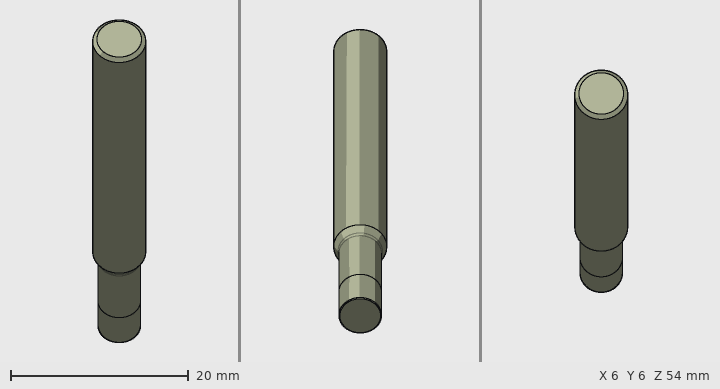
import cadquery as cq
import math

total_length = 54.0
shank_radius = 6.0 / 2
neck_radius = 4.8 / 2

tip_length = 4.8
tip_chamfer = 0.1
cone_top = 14.0
cone_angle = math.radians(28)
cone_bottom = cone_top - (shank_radius - neck_radius) / math.tan(cone_angle)
neck_fillet = 0.85

top_chamfer_width = 0.5
top_chamfer_height = 0.4


def make_tip():
    """Cylindrical tip with a chamfered lower edge."""
    tip = cq.Workplane("XY").circle(neck_radius).extrude(tip_length)
    return tip.faces("<Z").chamfer(tip_chamfer)


def make_shank():
    """Revolved shank with a reduced neck, blended into the cone by a fillet."""
    tangent_length = neck_fillet * math.tan(cone_angle / 2)
    fillet_bottom = cone_bottom - tangent_length
    fillet_mid_radius = neck_radius + neck_fillet * (1 - math.cos(cone_angle / 2))
    fillet_mid_height = fillet_bottom + neck_fillet * math.sin(cone_angle / 2)
    fillet_top_radius = neck_radius + neck_fillet * (1 - math.cos(cone_angle))
    fillet_top = fillet_bottom + neck_fillet * math.sin(cone_angle)

    return (
        cq.Workplane("XZ")
        .moveTo(0, tip_length)
        .lineTo(neck_radius, tip_length)
        .lineTo(neck_radius, fillet_bottom)
        .threePointArc((fillet_mid_radius, fillet_mid_height), (fillet_top_radius, fillet_top))
        .lineTo(shank_radius, cone_top)
        .lineTo(shank_radius, total_length - top_chamfer_height)
        .lineTo(shank_radius - top_chamfer_width, total_length)
        .lineTo(0, total_length)
        .close()
        .revolve(360, (0, 0, 0), (0, 1, 0))
    )


tip = make_tip()
shank = make_shank()

result = cq.Compound.makeCompound([tip.val(), shank.val()])